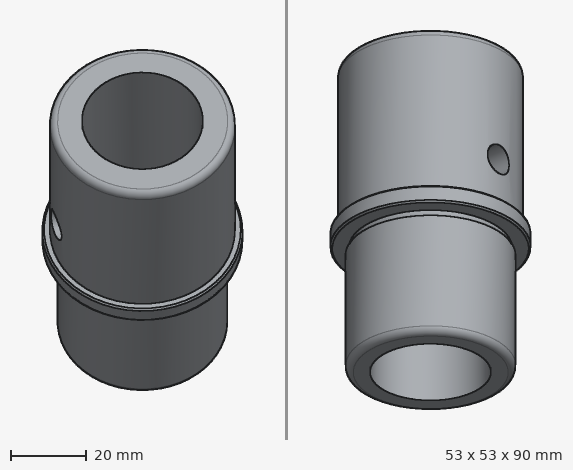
import cadquery as cq
import math

total_height = 90.0
collar_top = 42.0
collar_thickness = 5.0
collar_bottom = collar_top - collar_thickness

head_diameter = 49.0
collar_diameter = 53.0
spigot_diameter = 45.0
bore_diameter = 32.0

head_fillet = 2.0
collar_chamfer = 0.5
spigot_fillet = 2.0
relief_height = 2.0
relief_radius = relief_height * math.sqrt(2)
relief_depth = relief_radius - relief_height

cross_hole_diameter = 8.5
cross_hole_height = 55.0


def ring_profile():
    """Half section of the bush in the XZ plane, from the bore to the outside."""
    bore_radius = bore_diameter / 2
    head_radius = head_diameter / 2
    collar_radius = collar_diameter / 2
    spigot_radius = spigot_diameter / 2
    neck_radius = spigot_radius - relief_depth
    arc_offset = 1 - math.sqrt(0.5)
    return (
        cq.Workplane("XZ")
        .moveTo(bore_radius, 0)
        .lineTo(spigot_radius - spigot_fillet, 0)
        .threePointArc(
            (spigot_radius - spigot_fillet * arc_offset, spigot_fillet * arc_offset),
            (spigot_radius, spigot_fillet),
        )
        .lineTo(spigot_radius, collar_bottom - relief_height)
        .radiusArc((neck_radius, collar_bottom), relief_radius)
        .lineTo(collar_radius - collar_chamfer, collar_bottom)
        .lineTo(collar_radius, collar_bottom + collar_chamfer)
        .lineTo(collar_radius, collar_top - collar_chamfer)
        .lineTo(collar_radius - collar_chamfer, collar_top)
        .lineTo(head_radius, collar_top)
        .lineTo(head_radius, total_height - head_fillet)
        .threePointArc(
            (head_radius - head_fillet * arc_offset, total_height - head_fillet * arc_offset),
            (head_radius - head_fillet, total_height),
        )
        .lineTo(bore_radius, total_height)
        .close()
    )


def cross_hole():
    """Cylinder running from the axis out through the -Y wall."""
    return (
        cq.Workplane("XZ")
        .center(0, cross_hole_height)
        .circle(cross_hole_diameter / 2)
        .extrude(head_diameter)
    )


bush = ring_profile().revolve(360, (0, 0, 0), (0, 1, 0))
result = bush.cut(cross_hole())